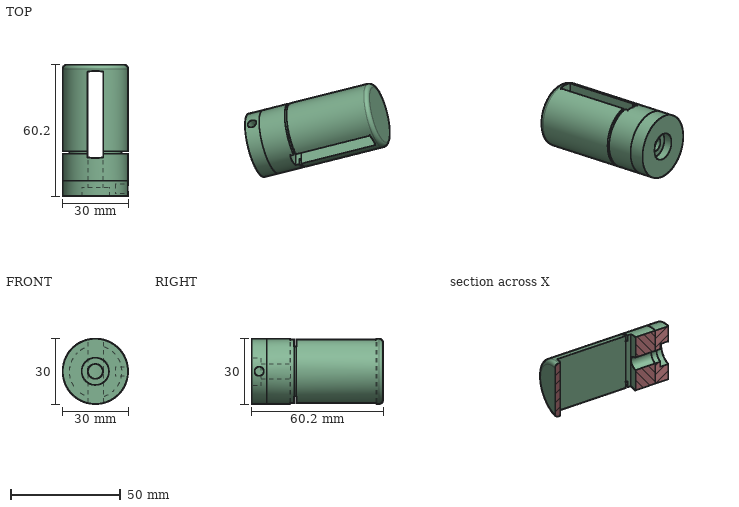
import cadquery as cq

length = 60.24
body_diameter = 30.0
body_radius = body_diameter / 2
front_y = -length / 2
back_y = front_y + length

cap_length = 7.0
groove_start = 19.5
groove_width = 1.0
back_fillet = 2.0

neck_diameter = 24.0
bore_diameter = 6.8
counterbore_diameter = 12.5
counterbore_depth = 4.2
side_hole_diameter = 4.2
side_hole_depth = 6.0

slot_width = 7.0
slot_front = 17.5
back_wall = 3.0
slot_length = length - back_wall - slot_front
slot_overrun = 1.0

cap_back_y = front_y + cap_length
groove_front_y = front_y + groove_start
groove_back_y = groove_front_y + groove_width
slot_center_y = front_y + slot_front + slot_length / 2


def cylinder_along_y(diameter, start_y, end_y):
    """Round bar on the common axis between two Y positions."""
    base_plane = cq.Workplane(cq.Plane(origin=(0, start_y, 0), xDir=(1, 0, 0), normal=(0, 1, 0)))
    return base_plane.circle(diameter / 2).extrude(end_y - start_y)


def slot_cutter():
    """Flat-sided slot whose two ends are arcs of a circle as wide as the slot is long."""
    half_height = body_radius + slot_overrun
    disc = (
        cq.Workplane("XY", origin=(0, slot_center_y, -half_height))
        .circle(slot_length / 2)
        .extrude(2 * half_height)
    )
    strip = cq.Workplane("XY", origin=(0, slot_center_y, 0)).box(slot_width, slot_length, 2 * half_height)
    return disc.intersect(strip)


def make_cap():
    """Front disc with a counterbored hole and a blind radial hole on the +X side."""
    disc = cylinder_along_y(body_diameter, front_y, cap_back_y)
    bore = cylinder_along_y(bore_diameter, front_y, cap_back_y)
    counterbore = cylinder_along_y(counterbore_diameter, front_y, front_y + counterbore_depth)
    side_hole = (
        cq.Workplane("YZ", origin=(body_radius - side_hole_depth, front_y + cap_length / 2, 0))
        .circle(side_hole_diameter / 2)
        .extrude(side_hole_depth)
    )
    return disc.cut(bore).cut(counterbore).cut(side_hole)


def make_hub():
    """Middle piece behind the cap, with the narrow neck that meets the sleeve."""
    drum = cylinder_along_y(body_diameter, cap_back_y, groove_front_y)
    neck = cylinder_along_y(neck_diameter, groove_front_y, groove_back_y)
    bore = cylinder_along_y(bore_diameter, cap_back_y, groove_back_y)
    return drum.union(neck).cut(bore).cut(slot_cutter())


def make_sleeve():
    """Long rear piece with a rounded back rim."""
    bar = cylinder_along_y(body_diameter, groove_back_y, back_y)
    return bar.faces(">Y").edges().fillet(back_fillet).cut(slot_cutter())


cap = make_cap()
hub = make_hub()
sleeve = make_sleeve()

result = cq.Compound.makeCompound([cap.val(), hub.val(), sleeve.val()])